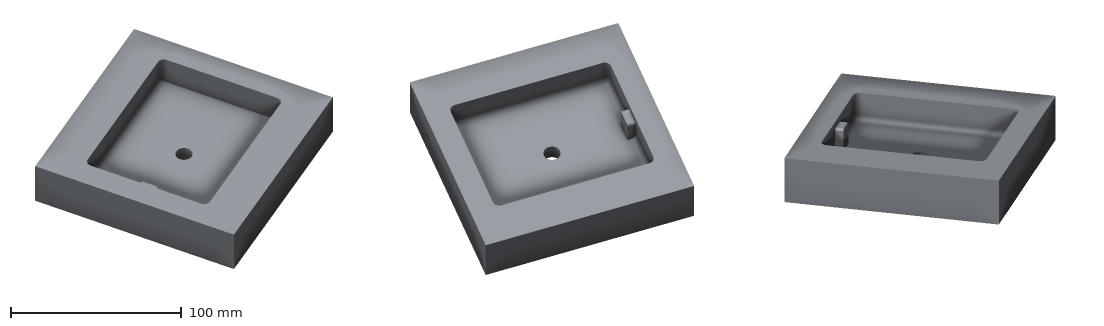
import cadquery as cq

block_side = 130.0
block_height = 28.0

pocket_width = 80.0
pocket_length = 100.0
pocket_depth = 18.0
blend_radius = 3.9

hole_diameter = 10.0

rib_width = 12.0
rib_reach = 5.1
rib_height = 14.0
rib_edge_radius = 1.8

floor_z = block_height - pocket_depth
front_wall_y = -pocket_length / 2


def make_pocket():
    """Pocket volume with the floor blended into every wall except the +Y one."""
    blended = (
        cq.Workplane("XY")
        .box(pocket_width, pocket_length, pocket_depth, centered=(True, True, False))
        .edges("(|Z and <Y) or (<Z and (|Y or <Y))")
        .fillet(blend_radius)
    )
    outline = (
        cq.Workplane("XY")
        .box(pocket_width, pocket_length, pocket_depth, centered=(True, True, False))
        .edges("|Z and >Y")
        .fillet(blend_radius)
    )
    return blended.intersect(outline).translate((0, 0, floor_z))


def make_rib():
    """Rib with rounded long top edges, rooted in the -Y wall."""
    root = blend_radius
    return (
        cq.Workplane("XY")
        .box(rib_width, rib_reach + root, rib_height + root, centered=(True, False, False))
        .edges("|Y and >Z")
        .fillet(rib_edge_radius)
        .translate((0, front_wall_y - root, floor_z - root))
    )


block = cq.Workplane("XY").box(block_side, block_side, block_height, centered=(True, True, False))
hole = cq.Workplane("XY").circle(hole_diameter / 2).extrude(block_height)
result = block.cut(make_pocket()).union(make_rib()).cut(hole)